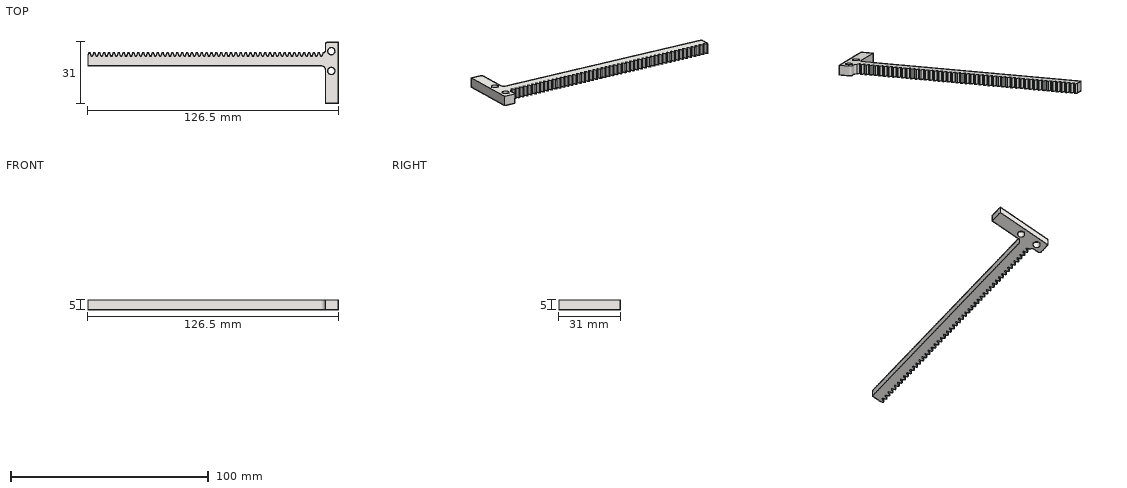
import cadquery as cq
import math

LENGTH = 126.5
HEAD_LENGTH = 31.0
THICKNESS = 5.0

HEAD_WIDTH = 6.6
HEAD_TOP = HEAD_LENGTH / 2
HEAD_BOTTOM = -HEAD_LENGTH / 2
HEAD_RIGHT = LENGTH / 2
HEAD_LEFT = HEAD_RIGHT - HEAD_WIDTH
HEAD_CORNER_RADIUS = 1.1

BAR_LEFT = -LENGTH / 2
TIP_DROP = 5.3
BAR_WIDTH = 6.7
TIP_Y = HEAD_TOP - TIP_DROP
BAR_BOTTOM = TIP_Y - BAR_WIDTH
UPPER_FILLET_RADIUS = 1.0
LOWER_FILLET_RADIUS = 2.0

TOOTH_COUNT = 48
TOOTH_RUN = 115.9
FIRST_TOOTH_INSET = 0.8
PITCH = TOOTH_RUN / (TOOTH_COUNT - 1)
MODULE = PITCH / math.pi
PRESSURE_ANGLE = math.radians(20)
ADDENDUM = MODULE
DEDENDUM = 1.2 * MODULE
TOOTH_DEPTH = ADDENDUM + DEDENDUM

HOLE_DIAMETER = 3.5
HOLE_INSET = 3.5
UPPER_HOLE_DROP = 4.5
HOLE_SPACING = 10.0


def block(left, right, bottom, top):
    """Full-thickness rectangular block between the given X and Y limits."""
    return (
        cq.Workplane("XY")
        .box(right - left, top - bottom, THICKNESS, centered=(False, False, True))
        .translate((left, bottom, 0))
    )


def round_edge(body, x, y, radius):
    """Fillet the vertical edge that stands at (x, y)."""
    selector = cq.selectors.NearestToPointSelector((x, y, 0))
    return body.edges("|Z").edges(selector).fillet(radius)


def make_body():
    """Plain bar joined to the cross head, with the rounded corners around the joint."""
    bar = block(BAR_LEFT, HEAD_RIGHT, BAR_BOTTOM, TIP_Y)
    head = block(HEAD_LEFT, HEAD_RIGHT, HEAD_BOTTOM, HEAD_TOP)
    body = bar.union(head)
    body = round_edge(body, HEAD_LEFT, HEAD_TOP, HEAD_CORNER_RADIUS)
    body = round_edge(body, HEAD_LEFT, TIP_Y, UPPER_FILLET_RADIUS)
    return round_edge(body, HEAD_LEFT, BAR_BOTTOM, LOWER_FILLET_RADIUS)


def make_tooth_spaces():
    """Spaces on both sides of every tooth; the first one only trims the free end."""
    slope = math.tan(PRESSURE_ANGLE)
    half_mouth = PITCH / 4 + ADDENDUM * slope
    half_root = PITCH / 4 - DEDENDUM * slope
    space = (
        cq.Workplane("XY")
        .moveTo(-half_mouth, 0)
        .lineTo(-half_root, -TOOTH_DEPTH)
        .lineTo(half_root, -TOOTH_DEPTH)
        .lineTo(half_mouth, 0)
        .close()
        .extrude(THICKNESS / 2, both=True)
        .val()
    )
    first_x = BAR_LEFT + FIRST_TOOTH_INSET - PITCH / 2
    centers = [(first_x + i * PITCH, TIP_Y) for i in range(TOOTH_COUNT + 1)]
    return cq.Workplane("XY").pushPoints(centers).eachpoint(lambda place: space.moved(place))


def make_screw_holes():
    hole_x = HEAD_RIGHT - HOLE_INSET
    upper_y = HEAD_TOP - UPPER_HOLE_DROP
    return (
        cq.Workplane("XY")
        .pushPoints([(hole_x, upper_y), (hole_x, upper_y - HOLE_SPACING)])
        .circle(HOLE_DIAMETER / 2)
        .extrude(THICKNESS / 2, both=True)
    )


result = make_body().cut(make_tooth_spaces()).cut(make_screw_holes())